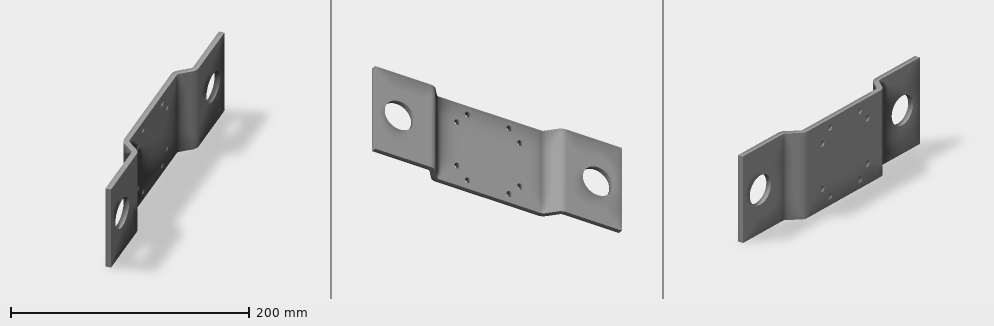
import cadquery as cq
import math

length = 249.5
height = 80.0
depth = 18.2
thickness = 5.0

centre_half_length = 51.7
bend_angle = 50.0
inner_radius = 3.5

oval_length = 30.0
oval_height = 27.0
oval_end_distance = 24.7

small_diameter = 5.5
hole_near = 21.0
hole_far = 31.7
pattern_offset_y = -1.2


def half_strap():
    """Bent half strap on the +Y side, from its midplane to the tab end."""
    outer_radius = inner_radius + thickness
    angle = math.radians(bend_angle)
    sine = math.sin(angle)
    cosine = math.cos(angle)

    step = depth - thickness
    arc_step = (inner_radius + outer_radius) * (1 - cosine)
    arc_rise = (inner_radius + outer_radius) * sine
    tab_start = centre_half_length + arc_rise + (step - arc_step) / math.tan(angle)

    first_centre = (outer_radius, centre_half_length)
    second_centre = (depth - outer_radius, tab_start)

    def first_bend(radius, turn):
        x, y = first_centre
        return (x - radius * math.cos(turn), y + radius * math.sin(turn))

    def second_bend(radius, turn):
        x, y = second_centre
        return (x + radius * math.cos(turn), y - radius * math.sin(turn))

    return (
        cq.Workplane("XY", origin=(0, 0, -height / 2))
        .moveTo(0, 0)
        .lineTo(0, centre_half_length)
        .threePointArc(first_bend(outer_radius, angle / 2), first_bend(outer_radius, angle))
        .lineTo(*second_bend(inner_radius, angle))
        .threePointArc(second_bend(inner_radius, angle / 2), second_bend(inner_radius, 0))
        .lineTo(depth - thickness, length / 2)
        .lineTo(depth, length / 2)
        .lineTo(depth, tab_start)
        .threePointArc(second_bend(outer_radius, angle / 2), second_bend(outer_radius, angle))
        .lineTo(*first_bend(inner_radius, angle))
        .threePointArc(first_bend(inner_radius, angle / 2), first_bend(inner_radius, 0))
        .lineTo(thickness, 0)
        .close()
        .extrude(height)
    )


def oval_cutters():
    oval_y = length / 2 - oval_end_distance
    return (
        cq.Workplane("YZ")
        .pushPoints([(-oval_y, 0), (oval_y, 0)])
        .ellipse(oval_length / 2, oval_height / 2)
        .extrude(depth)
    )


def small_hole_cutters():
    centres = [
        (pattern_offset_y + side_y * y, side_z * z)
        for y, z in ((hole_near, hole_far), (hole_far, hole_near))
        for side_y in (-1, 1)
        for side_z in (-1, 1)
    ]
    return cq.Workplane("YZ").pushPoints(centres).circle(small_diameter / 2).extrude(thickness)


half = half_strap()
strap = half.union(half.mirror("XZ")).clean()
result = strap.cut(oval_cutters()).cut(small_hole_cutters())